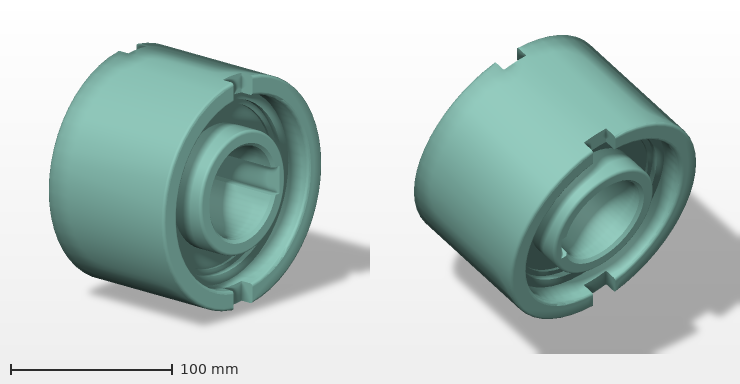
import cadquery as cq

length = 95.0
outer_radius = 75.0
edge_round = 2.0

recess_steps = [
    (62.2, 17.0),
    (56.2, 20.7),
    (52.8, 22.5),
]

hub_radius = 40.0
bore_radius = 30.0
bore_chamfer = 2.0

keyway_width = 18.0
keyway_reach = 34.5
slot_width = 18.0
slot_depth = 9.0

half_length = length / 2


def x_cylinder(radius, start, height):
    """Cylinder around the X axis, growing from start toward +X."""
    return cq.Workplane("YZ", origin=(start, 0, 0)).circle(radius).extrude(height)


def make_sleeve():
    """Outer body with annular recesses stepping down toward the hub."""
    body = x_cylinder(outer_radius, -half_length, length)
    for radius, depth in recess_steps:
        body = body.cut(x_cylinder(radius, -half_length, depth))
        body = body.cut(x_cylinder(radius, half_length - depth, depth))
    return body.faces("<X or >X").edges().fillet(edge_round)


def make_hub():
    """Solid hub with rounded outer end edges."""
    hub = x_cylinder(hub_radius, -half_length, length)
    return hub.faces("<X or >X").edges().fillet(edge_round)


def make_bore():
    """Through bore, flared by a chamfer at each end."""
    mouth_radius = bore_radius + bore_chamfer
    chamfer_start = half_length - bore_chamfer
    profile = [
        (-half_length, 0),
        (-half_length, mouth_radius),
        (-chamfer_start, bore_radius),
        (chamfer_start, bore_radius),
        (half_length, mouth_radius),
        (half_length, 0),
    ]
    return cq.Workplane("XY").polyline(profile).close().revolve(360, (0, 0, 0), (1, 0, 0))


def make_keyway():
    """Keyway on the +Y side of the bore, through the full length."""
    keyway = cq.Workplane("XY").box(length, keyway_reach, keyway_width)
    return keyway.translate((0, keyway_reach / 2, 0))


def make_end_slots():
    """Slots across the top and bottom of the rim, outside the hub."""
    bar = cq.Workplane("XY").box(slot_depth, slot_width, 2 * outer_radius)
    centre_x = half_length - slot_depth / 2
    slots = bar.translate((-centre_x, 0, 0)).union(bar.translate((centre_x, 0, 0)))
    return slots.cut(x_cylinder(hub_radius, -half_length, length))


result = (
    make_sleeve()
    .union(make_hub())
    .cut(make_bore())
    .cut(make_keyway())
    .cut(make_end_slots())
)